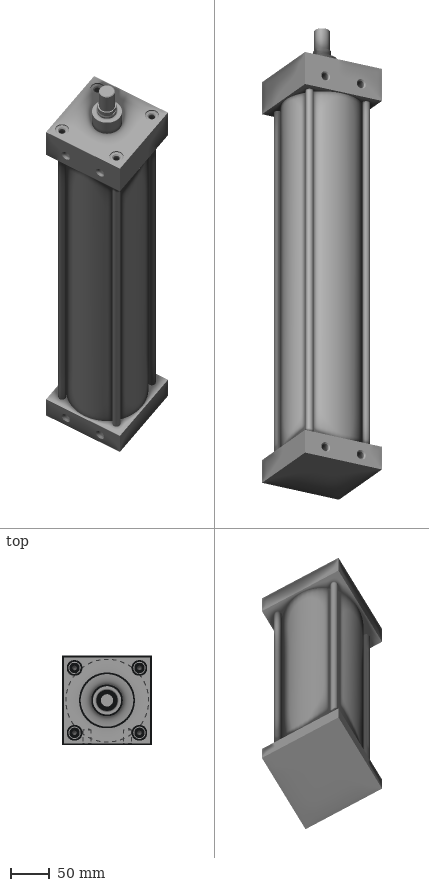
import cadquery as cq
import math

CAP_SIDE = 114.5
REAR_CAP_HEIGHT = 32.0
FRONT_CAP_BOTTOM = 520.5
FRONT_CAP_TOP = 566.0
FRONT_CAP_HEIGHT = FRONT_CAP_TOP - FRONT_CAP_BOTTOM
TIE_ROD_OFFSET = 42.0
TIE_ROD_DIAMETER = 10.0

COUNTERBORE_DIAMETER = 18.0
COUNTERBORE_DEPTH = 2.0
MOUNTING_HOLE_MOUTH_DIAMETER = 11.5
MOUNTING_HOLE_DIAMETER = 8.0
MOUNTING_HOLE_DEPTH = 16.0

PORT_X = 26.5
PORT_TO_BARREL = 17.5
PORT_MOUTH_DIAMETER = 13.0
PORT_DIAMETER = 10.0
PORT_DEPTH = 19.0

DRILL_POINT_ANGLE = 118

BARREL_DIAMETER = 107.5

GLAND_DIAMETER = 70.5
BOSS_DIAMETER = 39.0
BOSS_TOP = 588.0

ROD_DIAMETER = 25.0
TAPER_BOTTOM = 590.0
TAPER_TOP = 592.0
NECK_DIAMETER = 24.0
NECK_TOP = 599.0
FLATS_WIDTH = 22.0
ROD_END_DIAMETER = 21.0
ROD_END_CHAMFER_WIDTH = 1.0
ROD_END_CHAMFER_HEIGHT = 0.95
ROD_TOP = 628.5


def cylinder(diameter, bottom, top):
    return cq.Workplane("XY").workplane(offset=bottom).circle(diameter / 2).extrude(top - bottom)


def square_cap(bottom, height):
    return cq.Workplane("XY").workplane(offset=bottom).rect(CAP_SIDE, CAP_SIDE).extrude(height)


def revolved(points):
    """Solid of revolution about Z, from a closed outline of (radius, z) points."""
    return cq.Workplane("XZ").polyline(points).close().revolve(360, (0, 0, 0), (0, 1, 0))


def countersunk_hole(mouth_diameter, diameter, depth):
    """Tool for a blind hole with a 45 degree mouth and a drill point, running down -Z from the origin."""
    mouth_radius = mouth_diameter / 2
    radius = diameter / 2
    point_height = radius / math.tan(math.radians(DRILL_POINT_ANGLE / 2))
    return revolved([
        (0, 0),
        (mouth_radius, 0),
        (radius, radius - mouth_radius),
        (radius, -depth),
        (0, -depth - point_height),
    ])


def make_mounting_hole():
    floor = FRONT_CAP_TOP - COUNTERBORE_DEPTH
    hole = countersunk_hole(MOUNTING_HOLE_MOUTH_DIAMETER, MOUNTING_HOLE_DIAMETER, MOUNTING_HOLE_DEPTH)
    return cylinder(COUNTERBORE_DIAMETER, floor, FRONT_CAP_TOP).union(hole.translate((0, 0, floor)))


def make_port():
    port = countersunk_hole(PORT_MOUTH_DIAMETER, PORT_DIAMETER, PORT_DEPTH)
    return port.rotate((0, 0, 0), (1, 0, 0), 90).translate((0, -CAP_SIDE / 2, 0))


def make_frame():
    frame = square_cap(0, REAR_CAP_HEIGHT)
    frame = frame.union(square_cap(FRONT_CAP_BOTTOM, FRONT_CAP_HEIGHT))

    tie_rod = cylinder(TIE_ROD_DIAMETER, REAR_CAP_HEIGHT, FRONT_CAP_BOTTOM)
    mounting_hole = make_mounting_hole()
    for x in (-TIE_ROD_OFFSET, TIE_ROD_OFFSET):
        for y in (-TIE_ROD_OFFSET, TIE_ROD_OFFSET):
            frame = frame.union(tie_rod.translate((x, y, 0)))
            frame = frame.cut(mounting_hole.translate((x, y, 0)))

    port = make_port()
    for x in (-PORT_X, PORT_X):
        for z in (REAR_CAP_HEIGHT - PORT_TO_BARREL, FRONT_CAP_BOTTOM + PORT_TO_BARREL):
            frame = frame.cut(port.translate((x, 0, z)))

    gland_bore = cylinder(GLAND_DIAMETER, FRONT_CAP_BOTTOM, FRONT_CAP_TOP)
    return frame.cut(gland_bore)


def make_barrel():
    return cylinder(BARREL_DIAMETER, REAR_CAP_HEIGHT, FRONT_CAP_BOTTOM)


def make_gland():
    disc = cylinder(GLAND_DIAMETER, FRONT_CAP_BOTTOM, FRONT_CAP_TOP)
    boss = cylinder(BOSS_DIAMETER, FRONT_CAP_TOP, BOSS_TOP)
    rod_bore = cylinder(ROD_DIAMETER, FRONT_CAP_BOTTOM, BOSS_TOP)
    return disc.union(boss).cut(rod_bore)


def make_neck():
    """Short cylinder with two wrench flats, facing -X and +X."""
    height = NECK_TOP - TAPER_TOP
    flats = cq.Workplane("XY").workplane(offset=TAPER_TOP).rect(FLATS_WIDTH, NECK_DIAMETER).extrude(height)
    return cylinder(NECK_DIAMETER, TAPER_TOP, NECK_TOP).intersect(flats)


def make_rod_end():
    radius = ROD_END_DIAMETER / 2
    return revolved([
        (0, NECK_TOP),
        (radius, NECK_TOP),
        (radius, ROD_TOP - ROD_END_CHAMFER_HEIGHT),
        (radius - ROD_END_CHAMFER_WIDTH, ROD_TOP),
        (0, ROD_TOP),
    ])


def make_piston_rod():
    shank = revolved([
        (0, FRONT_CAP_BOTTOM),
        (ROD_DIAMETER / 2, FRONT_CAP_BOTTOM),
        (ROD_DIAMETER / 2, TAPER_BOTTOM),
        (NECK_DIAMETER / 2, TAPER_TOP),
        (0, TAPER_TOP),
    ])
    return shank.union(make_neck()).union(make_rod_end())


frame = make_frame()
barrel = make_barrel()
gland = make_gland()
piston_rod = make_piston_rod()

result = cq.Compound.makeCompound([frame.val(), barrel.val(), gland.val(), piston_rod.val()])